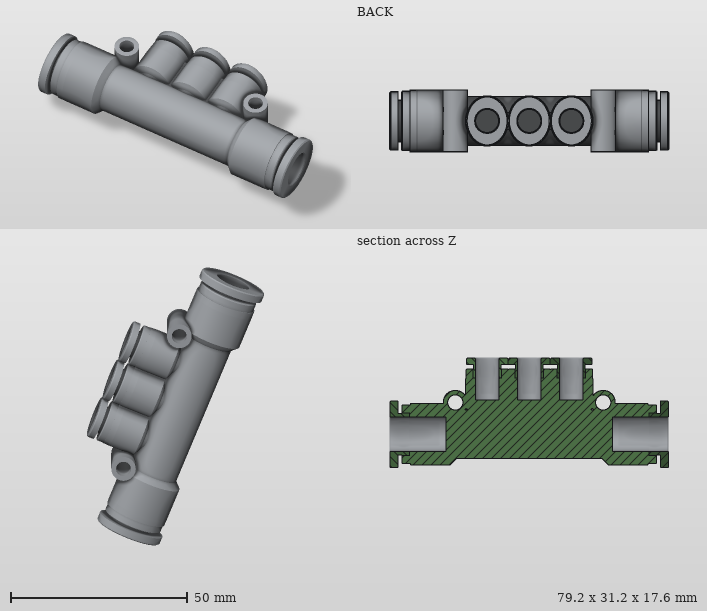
import cadquery as cq


tube_diameter = 14.0
shoulder_start = 20.75
end_diameter = 17.6
end_taper_start = 31.9
end_taper_diameter = 17.5
end_cap_start = 33.8
end_cap_diameter = 16.9
end_cap_tip = 36.2

branch_pitch = 11.95
branch_offsets = [-branch_pitch, 0, branch_pitch]
branch_diameter = 12.35
branch_root_diameter = 8.9
branch_root_end = 6.3
branch_cone_end = 7.4
branch_taper_start = 14.7
branch_taper_diameter = 12.2
branch_cap_start = 16.6
branch_cap_diameter = 12.0
branch_cap_tip = 18.6
web_thickness = 4.75

cap_edge_chamfer = 0.2

boss_diameter = 7.0
boss_hole_diameter = 4.2
boss_x = 21.0
boss_y = 9.0
boss_height = end_diameter

run_half_length = 39.6
end_flange_width = 19.1
end_flange_height = 16.6
end_flange_thickness = 2.4
end_collet_neck_diameter = 11.9
end_collet_bore_diameter = 9.75
end_collet_length = 5.55
end_port_depth = 15.85

overall_depth = 31.2
branch_tip = overall_depth - end_flange_width / 2
branch_flange_width = branch_pitch
branch_flange_height = 14.25
branch_flange_thickness = 2.0
branch_collet_neck_diameter = 7.9
branch_collet_bore_diameter = 6.6
branch_collet_length = 5.55
branch_port_depth = 11.9

flange_edge_chamfer = 0.3
bore_edge_chamfer = 0.2


def end_plane(side):
    """Plane on the tip of an end port, facing outward; local x is Y, local y is Z."""
    return cq.Plane(origin=(side * run_half_length, 0, 0), xDir=(0, 1, 0), normal=(side, 0, 0))


def branch_plane(x):
    """Plane on the tip of a branch port, facing outward along +Y; local x is X."""
    return cq.Plane(origin=(x, branch_tip, 0), xDir=(1, 0, 0), normal=(0, 1, 0))


def make_run():
    """Stepped bar of revolution about X: tube, conical shoulders, end sleeves and caps."""
    tube_radius = tube_diameter / 2
    end_radius = end_diameter / 2
    cap_radius = end_cap_diameter / 2
    shoulder_end = shoulder_start + end_radius - tube_radius
    half_profile = [
        (shoulder_start, tube_radius),
        (shoulder_end, end_radius),
        (end_taper_start, end_radius),
        (end_cap_start, end_taper_diameter / 2),
        (end_cap_start, cap_radius),
        (end_cap_tip - cap_edge_chamfer, cap_radius),
        (end_cap_tip, cap_radius - cap_edge_chamfer),
        (end_cap_tip, 0),
    ]
    mirrored = [(-x, radius) for x, radius in reversed(half_profile)]
    return cq.Workplane("XY").polyline(mirrored + half_profile).close().revolve(360, (0, 0, 0), (1, 0, 0))


def make_branch(x):
    """Stepped branch of revolution about its own Y axis, starting on the run axis."""
    root_radius = branch_root_diameter / 2
    branch_radius = branch_diameter / 2
    cap_radius = branch_cap_diameter / 2
    profile = [
        (0, 0),
        (root_radius, 0),
        (root_radius, branch_root_end),
        (branch_radius, branch_cone_end),
        (branch_radius, branch_taper_start),
        (branch_taper_diameter / 2, branch_cap_start),
        (cap_radius, branch_cap_start),
        (cap_radius, branch_cap_tip - cap_edge_chamfer),
        (cap_radius - cap_edge_chamfer, branch_cap_tip),
        (0, branch_cap_tip),
    ]
    branch = cq.Workplane("XY").polyline(profile).close().revolve(360, (0, 0, 0), (0, 1, 0))
    return branch.translate((x, 0, 0))


def make_web():
    """Flat slab that fills the grooves between neighbouring branches, up to their caps."""
    web_width = branch_offsets[-1] - branch_offsets[0]
    return cq.Workplane("XY").box(web_width, branch_cap_start, web_thickness, centered=(True, False, True))


def cylinder_on(plane, diameter, depth):
    """Cylinder that runs inward from a port plane."""
    return cq.Workplane(plane).circle(diameter / 2).extrude(-depth)


def boss_cylinders(diameter):
    """Upright cylinders of the given diameter on both boss axes."""
    boss_centers = [(-boss_x, boss_y), (boss_x, boss_y)]
    return (
        cq.Workplane("XY")
        .pushPoints(boss_centers)
        .circle(diameter / 2)
        .extrude(boss_height / 2, both=True)
    )


def make_housing():
    housing = make_run().union(make_web())
    for x in branch_offsets:
        housing = housing.union(make_branch(x))
    housing = housing.union(boss_cylinders(boss_diameter))
    housing = housing.cut(boss_cylinders(boss_hole_diameter))

    for side in (-1, 1):
        plane = end_plane(side)
        housing = housing.cut(cylinder_on(plane, end_collet_bore_diameter, end_port_depth))
        housing = housing.cut(cylinder_on(plane, end_collet_neck_diameter, end_collet_length))
    for x in branch_offsets:
        plane = branch_plane(x)
        housing = housing.cut(cylinder_on(plane, branch_collet_bore_diameter, branch_port_depth))
        housing = housing.cut(cylinder_on(plane, branch_collet_neck_diameter, branch_collet_length))
    return housing


def make_collet(plane, flange_size, flange_thickness, neck_diameter, bore_diameter, length):
    """Release collet: an oval flange on the port plane, a round neck and a through bore."""
    width, height = flange_size
    flange = cq.Workplane(plane).ellipse(width / 2, height / 2).extrude(-flange_thickness)
    flange = flange.faces(cq.selectors.DirectionMinMaxSelector(plane.zDir)).chamfer(flange_edge_chamfer)
    collet = flange.union(cylinder_on(plane, neck_diameter, length))
    collet = collet.cut(cylinder_on(plane, bore_diameter, length))
    mouth = cq.Workplane(plane).circle(bore_diameter / 2 + bore_edge_chamfer)
    mouth = mouth.workplane(offset=-bore_edge_chamfer).circle(bore_diameter / 2).loft(ruled=True)
    return collet.cut(mouth)


def make_end_collet(side):
    return make_collet(
        end_plane(side),
        (end_flange_width, end_flange_height),
        end_flange_thickness,
        end_collet_neck_diameter,
        end_collet_bore_diameter,
        end_collet_length,
    )


def make_branch_collet(x):
    return make_collet(
        branch_plane(x),
        (branch_flange_width, branch_flange_height),
        branch_flange_thickness,
        branch_collet_neck_diameter,
        branch_collet_bore_diameter,
        branch_collet_length,
    )


housing = make_housing()
end_collets = [make_end_collet(side) for side in (-1, 1)]
branch_collets = [make_branch_collet(x) for x in branch_offsets]

bodies = [housing, *end_collets, *branch_collets]
result = cq.Compound.makeCompound([body.solids().val() for body in bodies])